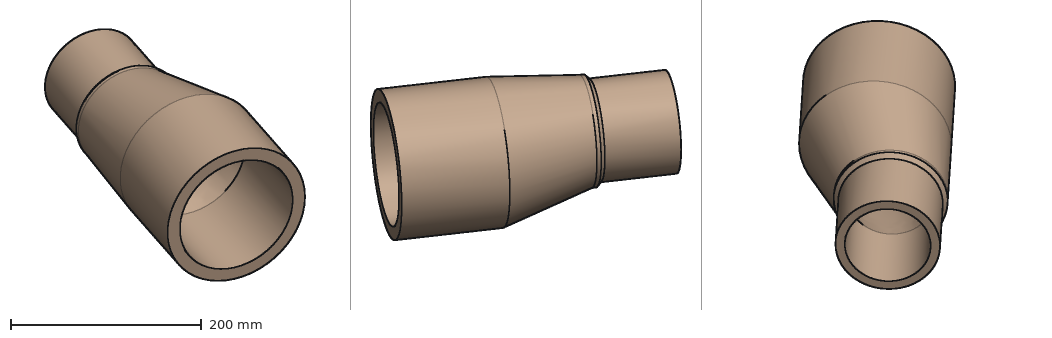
import cadquery as cq

length = 309.0
large_diameter = 160.0
small_diameter = 110.0
collar_diameter = 120.0
small_bore = 90.2

small_pipe_length = 82.0
collar_length = 4.5
large_pipe_length = 116.0

large_bore = large_diameter * small_bore / small_diameter

small_axis_y = -(large_diameter - collar_diameter) / 2

bevel_length = (collar_diameter - small_diameter) / 2
collar_start = small_pipe_length + bevel_length
cone_start = collar_start + collar_length
cone_end = length - large_pipe_length


def tapered_section(x_start, x_end, start_diameter, end_diameter, start_y, end_y):
    """Solid between two circles facing X, whose centres may differ in Y."""
    return (
        cq.Workplane("YZ", origin=(x_start, 0, 0))
        .center(start_y, 0)
        .circle(start_diameter / 2)
        .workplane(offset=x_end - x_start)
        .center(end_y - start_y, 0)
        .circle(end_diameter / 2)
        .loft(ruled=True)
    )


def straight_section(x_start, x_end, diameter, axis_y):
    """Cylinder along X."""
    return (
        cq.Workplane("YZ", origin=(x_start, axis_y, 0))
        .circle(diameter / 2)
        .extrude(x_end - x_start)
    )


def make_body():
    """Outer shape: small pipe, bevelled collar, oblique cone and large pipe."""
    small_pipe = straight_section(0, small_pipe_length, small_diameter, small_axis_y)
    bevel = tapered_section(
        small_pipe_length, collar_start, small_diameter, collar_diameter, small_axis_y, small_axis_y
    )
    collar = straight_section(collar_start, cone_start, collar_diameter, small_axis_y)
    cone = tapered_section(cone_start, cone_end, collar_diameter, large_diameter, small_axis_y, 0)
    large_pipe = straight_section(cone_end, length, large_diameter, 0)
    return small_pipe.union(bevel).union(collar).union(cone).union(large_pipe)


def make_bore():
    """Through passage that widens inside the cone."""
    small_passage = straight_section(0, cone_start, small_bore, small_axis_y)
    transition = tapered_section(cone_start, cone_end, small_bore, large_bore, small_axis_y, 0)
    large_passage = straight_section(cone_end, length, large_bore, 0)
    return small_passage.union(transition).union(large_passage)


result = make_body().cut(make_bore())